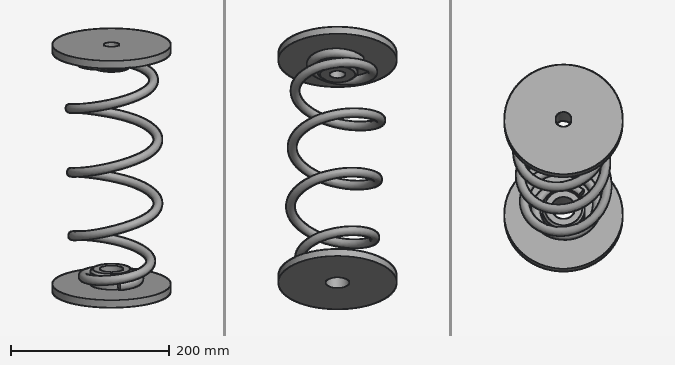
import cadquery as cq
import math

TOTAL_HEIGHT = 324.8
PLATE_DIAMETER = 150.0
PLATE_THICKNESS = 10.0

BOSS_HEIGHT = 19.8
BOSS_CHAMFER = 3.2
LOWER_BOSS_DIAMETER = 54.0
LOWER_BORE_DIAMETER = 30.0
UPPER_BOSS_DIAMETER = 51.0
UPPER_BORE_DIAMETER = 20.0

WIRE_DIAMETER = 11.7
COIL_Y_OFFSET = 2.5
STEPS_PER_HALF_TURN = 4
END_CLEARANCE = 0.5
FIRST_HEIGHT = PLATE_THICKNESS + WIRE_DIAMETER / 2 + END_CLEARANCE
LAST_HEIGHT = TOTAL_HEIGHT - FIRST_HEIGHT

HALF_TURNS = [
    (33.5, FIRST_HEIGHT),
    (33.8, 18.5),
    (46.8, 30.2),
    (47.7, 57.5),
    (58.8, 101.3),
    (51.5, 138.7),
    (56.2, 184.0),
    (56.2, 221.5),
    (53.0, 266.0),
    (46.8, 292.5),
    (32.0, 307.5),
    (31.8, LAST_HEIGHT),
]


def make_plate(boss_diameter, bore_diameter):
    """Flat round plate with its boss pointing up and a bore through both."""
    boss = (
        cq.Workplane("XY")
        .workplane(offset=PLATE_THICKNESS)
        .circle(boss_diameter / 2)
        .extrude(BOSS_HEIGHT)
        .faces(">Z")
        .chamfer(BOSS_CHAMFER)
    )
    bore = cq.Workplane("XY").circle(bore_diameter / 2).extrude(PLATE_THICKNESS + BOSS_HEIGHT)
    disc = cq.Workplane("XY").circle(PLATE_DIAMETER / 2).extrude(PLATE_THICKNESS)
    return disc.union(boss).cut(bore)


def smooth_height(before, start, end, after, fraction):
    """Height part-way from start to end on the cubic through four equally spaced heights."""
    rest = 1 - fraction
    start_share = start * rest * (1 + fraction) * (1 + rest) / 2
    end_share = end * fraction * (1 + fraction) * (1 + rest) / 2
    outer_share = fraction * rest * (before * (1 + rest) + after * (1 + fraction)) / 6
    return start_share + end_share - outer_share


def coil_points():
    """Wire centre points along a chain of rising semicircles."""
    last = len(HALF_TURNS) - 1
    heights = [height for _, height in HALF_TURNS]
    shifts = [0.0] + [COIL_Y_OFFSET] * (last - 1) + [0.0]
    points = []
    for index in range(last):
        side = (-1) ** index
        reach = HALF_TURNS[index][0]
        next_reach = HALF_TURNS[index + 1][0]
        radius = (reach + next_reach) / 2
        centre_x = side * (reach - next_reach) / 2
        for step in range(STEPS_PER_HALF_TURN):
            fraction = step / STEPS_PER_HALF_TURN
            angle = fraction * math.pi
            shift = shifts[index] + fraction * (shifts[index + 1] - shifts[index])
            height = smooth_height(
                heights[max(index - 1, 0)],
                heights[index],
                heights[index + 1],
                heights[min(index + 2, last)],
                fraction,
            )
            x = centre_x + side * radius * math.cos(angle)
            y = shift + side * radius * math.sin(angle)
            points.append((x, y, height))
    end_reach, end_height = HALF_TURNS[last]
    points.append(((-1) ** last * end_reach, shifts[last], end_height))
    return points


def make_spring():
    """Round wire swept along the coil, with flat ends facing -Y."""
    points = coil_points()
    path = cq.Workplane("XY").spline(points, tangents=[(0, 1, 0), (0, -1, 0)], scale=False)
    start_plane = cq.Plane(origin=points[0], xDir=(1, 0, 0), normal=(0, 1, 0))
    return cq.Workplane(start_plane).circle(WIRE_DIAMETER / 2).sweep(path)


lower_plate = make_plate(LOWER_BOSS_DIAMETER, LOWER_BORE_DIAMETER)
upper_plate = (
    make_plate(UPPER_BOSS_DIAMETER, UPPER_BORE_DIAMETER)
    .rotate((0, 0, 0), (1, 0, 0), 180)
    .translate((0, 0, TOTAL_HEIGHT))
)
spring = make_spring()

result = cq.Compound.makeCompound([lower_plate.val(), upper_plate.val(), spring.val()])